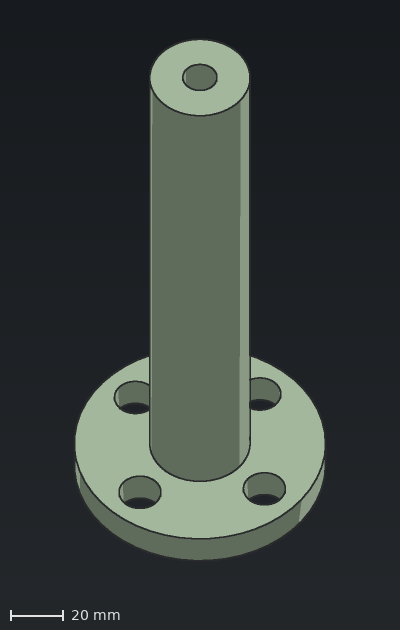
import cadquery as cq

flange_diameter = 95.3
flange_thickness = 13.0

overall_height = 227.0
stem_diameter = 38.1

bore_diameter = 13.0

bolt_hole_count = 4
bolt_hole_diameter = 16.0
bolt_circle_diameter = 66.7


def make_body():
    """Flange with its underside on Z = 0 and the stem rising from it."""
    flange = cq.Workplane("XY").circle(flange_diameter / 2).extrude(flange_thickness)
    stem = cq.Workplane("XY").circle(stem_diameter / 2).extrude(overall_height)
    return flange.union(stem)


def make_bore():
    return cq.Workplane("XY").circle(bore_diameter / 2).extrude(overall_height)


def make_bolt_holes():
    return (
        cq.Workplane("XY")
        .polarArray(bolt_circle_diameter / 2, 0, 360, bolt_hole_count)
        .circle(bolt_hole_diameter / 2)
        .extrude(flange_thickness)
    )


result = make_body().cut(make_bore()).cut(make_bolt_holes())